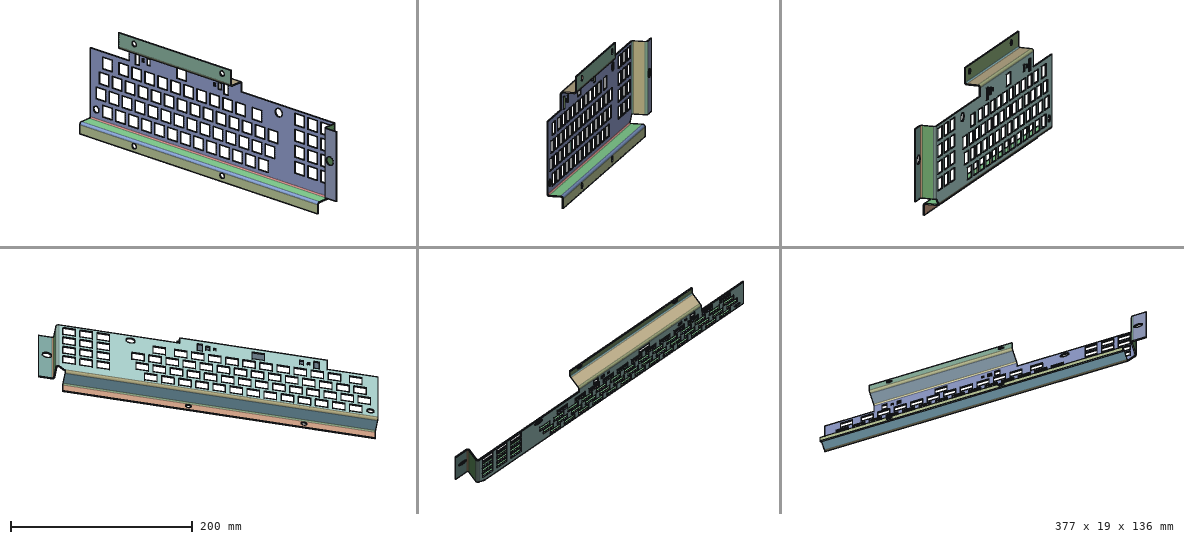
import cadquery as cq

length = 377.0
depth = 19.0
height = 136.0
thickness = 1.45
inner_radius = 1.5
outer_radius = inner_radius + thickness

left_top_z = 97.3
right_top_z = 105.0
top_flange_start_x = 57.0
top_flange_end_x = 222.0
bottom_flange_end_x = 350.0
right_flange_bottom_z = 22.2
bottom_web_z = 14.0
top_web_z = 116.5
right_web_x = 359.0
relief_x = 351.0

key_size = 14.0
full_row_keys = 14
full_row_span = 248.5
key_pitch = full_row_span / (full_row_keys - 1)
space_row_keys = 13
top_row_middle_keys = 10
shift_row_x = 15.5
space_row_z = 26.8
keypad_x = 307.5
keypad_z = 37.0
keypad_columns = 3
keypad_rows = 4

status_x = 134.2
status_z = 102.5
slot_size = (6.0, 14.0)
slot_offset = 65.2
window_size = (4.5, 8.0)
pin_size = (2.5, 3.8)
pair_offset = 52.5
pin_to_window = 8.0
small_opening_z = 103.3

screw_diameter = 6.5
screw_x = (80.0, 209.2)
screw_edge_distance = 7.0
boss_hole_diameter = 10.0
plate_hole = (277.0, 95.5)
right_flange_hole = (367.5, 68.0)
corner_hole_diameter = 8.0
corner_hole = (8.5, 26.0)


def flat_plate():
    """Rear plate, ending where the three bends begin."""
    bottom_z = bottom_web_z + inner_radius
    top_z = top_web_z - inner_radius
    right_x = right_web_x - inner_radius
    outline = [
        (0, bottom_z),
        (relief_x, bottom_z),
        (right_x, right_flange_bottom_z),
        (right_x, right_top_z),
        (top_flange_end_x, right_top_z),
        (top_flange_end_x, top_z),
        (top_flange_start_x, top_z),
        (top_flange_start_x, left_top_z),
        (0, left_top_z),
    ]
    rear = cq.Workplane("XZ", origin=(0, depth, 0))
    return rear.polyline(outline).close().extrude(thickness)


def stepped_flange(origin, outward, along, reach, width):
    """Web running forward from the plate, then a flange turned outward.

    The section's first axis points outward from the inner face of the web and ends
    at reach; its second axis is +Y. The section is extruded by width toward along.
    """
    section = cq.Workplane(cq.Plane(origin=origin, xDir=outward, normal=along))
    section = (
        section.moveTo(-inner_radius, depth)
        .radiusArc((thickness, depth - outer_radius), outer_radius)
        .lineTo(thickness, outer_radius)
        .radiusArc((outer_radius, thickness), -inner_radius)
        .lineTo(reach, thickness)
        .lineTo(reach, 0)
        .lineTo(outer_radius, 0)
        .radiusArc((0, outer_radius), outer_radius)
        .lineTo(0, depth - outer_radius)
        .radiusArc((-inner_radius, depth - thickness), -inner_radius)
        .close()
    )
    return section.extrude(width)


def rectangular_cuts(centers, size):
    """Rectangular blocks through the full depth at the given (x, z) centers."""
    return cq.Workplane("XZ").pushPoints(centers).rect(*size).extrude(-depth)


def round_cuts(centers, diameter):
    """Round pins through the full depth at the given (x, z) centers."""
    return cq.Workplane("XZ").pushPoints(centers).circle(diameter / 2).extrude(-depth)


def key_centers():
    """Centers of the staggered typing rows and of the keypad grid."""
    space_row = [0.5 + key for key in range(space_row_keys)]
    shift_row = list(range(full_row_keys))
    home_row = [0.25 + key for key in range(full_row_keys)]
    top_row_middle = [1.75 + key for key in range(top_row_middle_keys)]
    top_row = [0.5] + top_row_middle + [top_row_middle[-1] + 1.25]
    rows = (space_row, shift_row, home_row, top_row)
    centers = [
        (shift_row_x + key * key_pitch, space_row_z + row * key_pitch)
        for row, keys in enumerate(rows)
        for key in keys
    ]
    centers += [
        (keypad_x + column * key_pitch, keypad_z + row * key_pitch)
        for column in range(keypad_columns)
        for row in range(keypad_rows)
    ]
    return centers


bottom_flange = stepped_flange(
    (0, 0, bottom_web_z), (0, 0, -1), (1, 0, 0), bottom_web_z, bottom_flange_end_x
)
top_flange = stepped_flange(
    (top_flange_end_x, 0, top_web_z),
    (0, 0, 1),
    (-1, 0, 0),
    height - top_web_z,
    top_flange_end_x - top_flange_start_x,
)
right_flange = stepped_flange(
    (right_web_x, 0, right_flange_bottom_z),
    (1, 0, 0),
    (0, 0, 1),
    length - right_web_x,
    right_top_z - right_flange_bottom_z,
)
result = flat_plate().union(bottom_flange).union(top_flange).union(right_flange)

square_openings = key_centers() + [(status_x, status_z)]
result = result.cut(rectangular_cuts(square_openings, (key_size, key_size)))
slots = [(status_x + side * slot_offset, status_z) for side in (-1, 1)]
result = result.cut(rectangular_cuts(slots, slot_size))
pairs = [(status_x + side * pair_offset, small_opening_z) for side in (-1, 1)]
pins = [(x - pin_to_window / 2, z) for x, z in pairs]
windows = [(x + pin_to_window / 2, z) for x, z in pairs]
result = result.cut(rectangular_cuts(pins, pin_size))
result = result.cut(rectangular_cuts(windows, window_size))

screws = [(x, z) for x in screw_x for z in (screw_edge_distance, height - screw_edge_distance)]
result = result.cut(round_cuts(screws, screw_diameter))
result = result.cut(round_cuts([plate_hole, right_flange_hole], boss_hole_diameter))
result = result.cut(round_cuts([corner_hole], corner_hole_diameter))